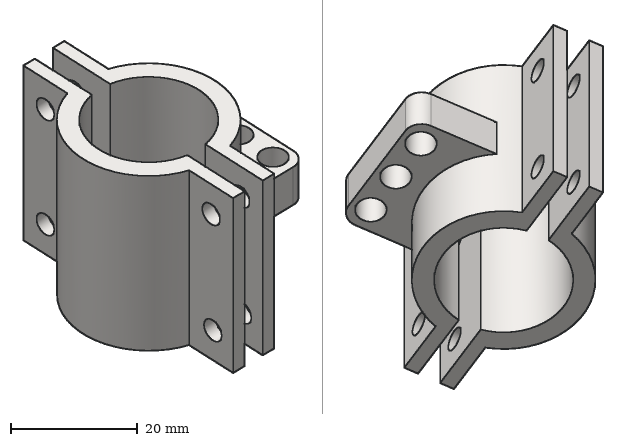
import cadquery as cq

width = 47.55
height = 35.0
bore_radius = 11.0
outer_radius = 14.5
gap = 4.0
flange_thickness = 2.5

bolt_hole_diameter = 4.0
bolt_x = 18.8
lower_right_bolt_x = 19.15
bolt_z = 11.5
bolt_places = [
    (-bolt_x, bolt_z),
    (-bolt_x, -bolt_z),
    (bolt_x, bolt_z),
    (lower_right_bolt_x, -bolt_z),
]

lug_width = 24.05
lug_thickness = 7.6
lug_reach = 23.05
lug_corner_radius = 3.0
lug_hole_diameter = 5.0
lug_hole_spacing = 8.0
lug_hole_count = 3
lug_hole_y = 19.6


def upright_cylinder(radius):
    """Cylinder on the clamp axis, as tall as the clamp."""
    return cq.Workplane("XY").circle(radius).extrude(height / 2, both=True)


def half_space(side):
    """Block covering everything on one side of the gap (+1 back, -1 front)."""
    depth = outer_radius
    return cq.Workplane("XY").box(width, depth, height).translate((0, side * (gap + depth) / 2, 0))


def bolt_holes():
    return (
        cq.Workplane("XZ")
        .pushPoints(bolt_places)
        .circle(bolt_hole_diameter / 2)
        .extrude(outer_radius, both=True)
    )


def clamp_half(side):
    """Half ring with a flange at each end, on the given side of the gap."""
    flange_y = side * (gap + flange_thickness) / 2
    flanges = cq.Workplane("XY").box(width, flange_thickness, height).translate((0, flange_y, 0))
    half_ring = upright_cylinder(outer_radius).intersect(half_space(side))
    return half_ring.union(flanges).cut(upright_cylinder(bore_radius)).cut(bolt_holes())


def lug():
    """Plate with rounded outer corners, starting at the ring's outer wall."""
    plate = (
        cq.Workplane("XY")
        .box(lug_width, lug_reach, lug_thickness)
        .translate((0, lug_reach / 2, 0))
        .edges("|Z and >Y")
        .fillet(lug_corner_radius)
    )
    holes = (
        cq.Workplane("XY")
        .center(0, lug_hole_y)
        .rarray(lug_hole_spacing, 0.48, lug_hole_count, 1)
        .circle(lug_hole_diameter / 2)
        .extrude(lug_thickness, both=True)
    )
    return plate.cut(holes).cut(upright_cylinder(outer_radius))


back_clamp = clamp_half(1).union(lug())
front_clamp = clamp_half(-1)

result = cq.Compound.makeCompound([back_clamp.solids().val(), front_clamp.solids().val()])